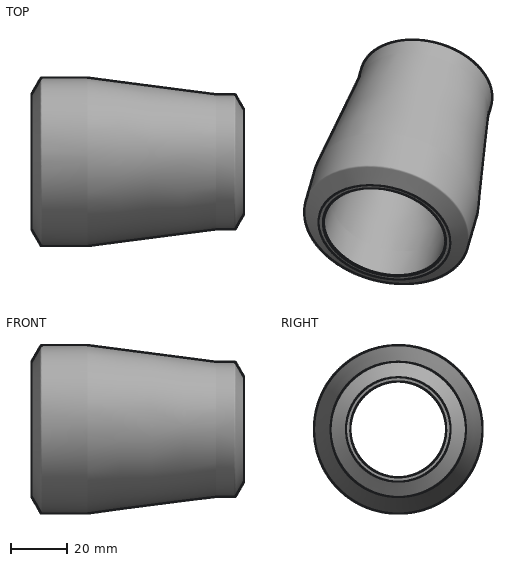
import cadquery as cq
import math

length = 76.0
large_radius = 60.3 / 2
small_radius = 48.3 / 2
large_bore_radius = 44.3 / 2
small_bore_radius = 34.1 / 2
large_end_length = 20.1
small_end_length = 10.0
large_bore_length = 12.15
land_width = 1.6
bevel_angle = 30.0
edge_radius = 0.75
bore_edge_chamfer = 0.3

bevel_slope = math.tan(math.radians(bevel_angle))
large_land_radius = large_bore_radius + bore_edge_chamfer + land_width
small_land_radius = small_bore_radius + land_width
large_bevel_depth = (large_radius - large_land_radius) * bevel_slope
small_bevel_depth = (small_radius - small_land_radius) * bevel_slope

cone_start = large_end_length
cone_end = length - small_end_length


def revolve_about_x(points):
    """Revolve a closed (x, radius) outline about the X axis."""
    outline = cq.Workplane("XZ").polyline(points).close()
    return outline.revolve(360, (0, 0, 0), (1, 0, 0))


def make_body():
    """Solid outer shape with both weld bevels and rounded bevel edges."""
    body = revolve_about_x([
        (0, 0),
        (0, large_land_radius),
        (large_bevel_depth, large_radius),
        (cone_start, large_radius),
        (cone_end, small_radius),
        (length - small_bevel_depth, small_radius),
        (length, small_land_radius),
        (length, 0),
    ])
    for x, radius in (
        (large_bevel_depth, large_radius),
        (length - small_bevel_depth, small_radius),
    ):
        rim = cq.selectors.BoxSelector(
            (x - edge_radius, -2 * radius, -2 * radius),
            (x + edge_radius, 2 * radius, 2 * radius),
            boundingbox=True,
        )
        body = body.edges(rim).edges("%CIRCLE").fillet(edge_radius)
    return body


def make_bore():
    """Through bore: chamfered mouth, large bore, taper, small bore."""
    return revolve_about_x([
        (0, 0),
        (0, large_bore_radius + bore_edge_chamfer),
        (bore_edge_chamfer, large_bore_radius),
        (large_bore_length, large_bore_radius),
        (cone_end, small_bore_radius),
        (length, small_bore_radius),
        (length, 0),
    ])


result = make_body().cut(make_bore())